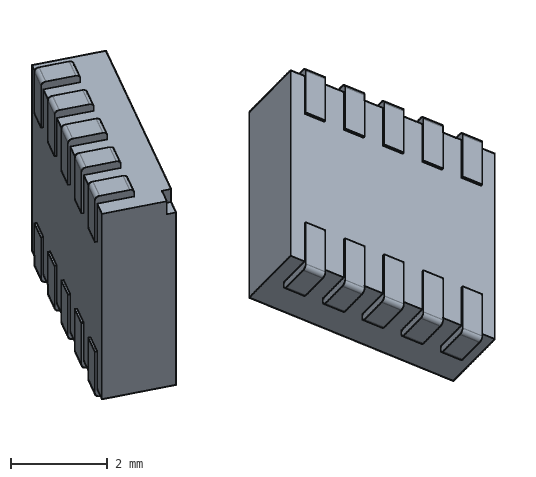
import cadquery as cq

body_width = 5.0
body_depth = 1.6
body_height = 5.0

terminals_per_row = 5
terminal_pitch = 0.96
terminal_width = 0.48
overall_height = 5.4
front_thickness = 0.05
front_leg_length = 1.22
end_leg_depth = 0.85
terminal_radius = 0.1

notch_width = 0.35
notch_depth = 0.2
notch_height = notch_width

half_body = body_height / 2
half_overall = overall_height / 2


def make_body():
    """Rectangular block with its front face at Y = 0."""
    return cq.Workplane("XY").box(
        body_width, body_depth, body_height, centered=(True, False, True)
    )


def make_notch():
    """Cutter for the notch in the +X, +Y, +Z corner of the body."""
    corner = (
        body_width / 2 - notch_width,
        body_depth - notch_depth,
        half_body - notch_height,
    )
    return (
        cq.Workplane("XY")
        .box(notch_width, notch_depth, notch_height, centered=False)
        .translate(corner)
    )


def make_terminal(x_center):
    """Upper L-shaped terminal, drawn in the YZ plane and extruded along X."""
    front = -front_thickness
    back = front + end_leg_depth
    profile = [
        (front, half_overall),
        (back, half_overall),
        (back, half_body),
        (0, half_body),
        (0, half_overall - front_leg_length),
        (front, half_overall - front_leg_length),
    ]
    return (
        cq.Workplane("YZ")
        .polyline(profile)
        .close()
        .extrude(terminal_width / 2, both=True)
        .edges("|X and >Z")
        .fillet(terminal_radius)
        .translate((x_center, 0, 0))
    )


result = make_body().cut(make_notch())
first_x = -terminal_pitch * (terminals_per_row - 1) / 2
for index in range(terminals_per_row):
    upper_terminal = make_terminal(first_x + index * terminal_pitch)
    lower_terminal = upper_terminal.mirror("XY")
    result = result.union(upper_terminal).union(lower_terminal)